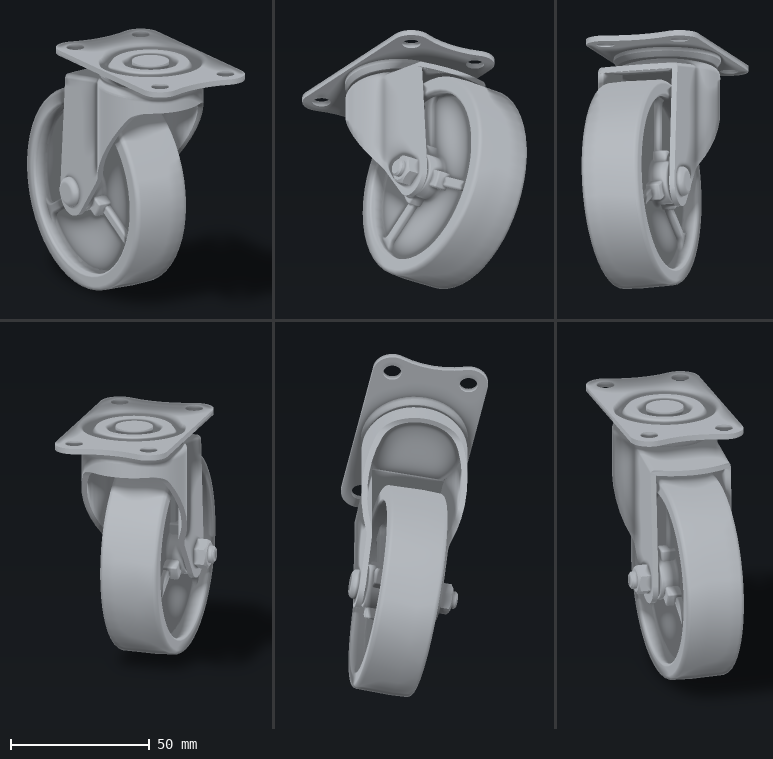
import cadquery as cq
import math


sheet = 2.0
plate_half_x = 35.0
plate_half_y = 21.0
corner_r = 7.0
waist_half_x = 32.6
hole_d = 6.5
corner_x = plate_half_x - corner_r
corner_y = plate_half_y - corner_r

dish_r = 20.1
lip_r = 18.7
groove_outer_r = 17.3
groove_inner_r = 15.5
ridge_base_r = 14.1
ridge_outer_r = 12.9
ridge_inner_r = 11.2
well_lip_r = 9.7
well_floor_r = 8.3
rivet_r = 6.7
lip_drop = 0.8
groove_depth = 2.6
well_depth = 2.0
dish_bottom_z = -5.3
dish_skirt_r = 19.3
dish_skirt_z = -3.5
dish_base_r = 18.1

swivel_cap_r = 19.1
cap_top_z = -5.9
cap_round = 3.0
cap_round_margin = 0.01
seat_r = 14.6
arm_half_y = 15.0
neck_round = 4.0
arm_edge_round = 1.5
roof_angle = math.radians(10)
roof_ref_x = -12.6
roof_ref_z = -7.8
roof_end_x = -11.2
front_edge_x = -33.3
lip_x = -36.2
arm_stock_x = lip_x - 2.0
skirt_bottom_z = -14.1
skirt_corner_x = 12.2
skirt_corner_round = 8.3
arm_tip_r = 7.5
arm_tip_drop = 1.4

wheel_r = 37.5
wheel_front_x = -66.5
wheel_bottom_z = -92.0
axle_x = wheel_front_x + wheel_r
axle_z = wheel_bottom_z + wheel_r
wheel_half_y = 10.8
tread_crown = 0.3
tread_round = 1.6
rim_r = 31.3
rim_round = 0.9
web_half_y = 5.4
hub_r = 7.8
hub_half_y = 12.0
hub_base_round = 1.1
hub_end_round = 0.5
spoke_angles = (90, 210, 330)
spoke_width = 3.7
spoke_height = 2.0
spoke_edge_round = 0.8
spoke_flare_start = 27.8
boss_width = 6.2
boss_end_r = 11.6
boss_height = 5.1
boss_edge_round = 0.7

bolt_r = 3.1
bolt_head_r = 5.4
bolt_head_height = 2.5
bolt_head_round = 2.0
bolt_end_y = 21.6
bolt_end_chamfer = 0.7
nut_corner_r = 5.6
nut_height = 4.6
nut_face_r = 4.3
nut_chamfer_height = 0.9


def axle_cylinder(radius, y_start, y_end):
    """Cylinder on the axle, from y_start to y_end."""
    axis_start = cq.Vector(axle_x, y_start, axle_z)
    return cq.Workplane(cq.Solid.makeCylinder(radius, y_end - y_start, axis_start, cq.Vector(0, 1, 0)))


def roof_z(x):
    """Height of the sloping fork roof at x."""
    return roof_ref_z + (x - roof_ref_x) * math.tan(roof_angle)


def make_plate():
    reach = waist_half_x - corner_r
    end_centre_x = (corner_x**2 + corner_y**2 - reach**2) / (2 * (corner_x - reach))
    end_r = end_centre_x - waist_half_x
    share = corner_r / (corner_r + end_r)
    join_x = corner_x + share * (end_centre_x - corner_x)
    join_y = corner_y * (1 - share)
    corner_turn = (math.radians(90) + math.atan2(join_y - corner_y, join_x - corner_x)) / 2
    mid_x = corner_x + corner_r * math.cos(corner_turn)
    mid_y = corner_y + corner_r * math.sin(corner_turn)
    slab = (
        cq.Workplane("XY")
        .moveTo(-corner_x, plate_half_y)
        .lineTo(corner_x, plate_half_y)
        .threePointArc((mid_x, mid_y), (join_x, join_y))
        .threePointArc((waist_half_x, 0), (join_x, -join_y))
        .threePointArc((mid_x, -mid_y), (corner_x, -plate_half_y))
        .lineTo(-corner_x, -plate_half_y)
        .threePointArc((-mid_x, -mid_y), (-join_x, -join_y))
        .threePointArc((-waist_half_x, 0), (-join_x, join_y))
        .threePointArc((-mid_x, mid_y), (-corner_x, plate_half_y))
        .close()
        .extrude(-sheet)
        .faces(">Z").workplane(origin=(0, 0, 0))
        .rect(2 * corner_x, 2 * corner_y, forConstruction=True)
        .vertices().hole(hole_d)
        .cut(cq.Workplane("XY").circle(dish_r).extrude(-sheet))
    )
    return slab.union(make_dish())


def make_dish():
    """Pressed dish with its ball groove, ridge, well and central rivet head."""
    return (
        cq.Workplane("XZ")
        .moveTo(0, 0)
        .lineTo(rivet_r, 0)
        .lineTo(rivet_r, -well_depth)
        .lineTo(well_floor_r, -well_depth)
        .lineTo(well_lip_r, -lip_drop)
        .tangentArcPoint((ridge_inner_r, 0), relative=False)
        .lineTo(ridge_outer_r, 0)
        .tangentArcPoint((ridge_base_r, -lip_drop), relative=False)
        .lineTo(groove_inner_r, -groove_depth)
        .lineTo(groove_outer_r, -groove_depth)
        .lineTo(lip_r, -lip_drop)
        .tangentArcPoint((dish_r, 0), relative=False)
        .lineTo(dish_r, -sheet)
        .lineTo(dish_skirt_r, -sheet)
        .lineTo(dish_skirt_r, dish_skirt_z)
        .lineTo(dish_base_r, dish_bottom_z)
        .lineTo(0, dish_bottom_z)
        .close()
        .revolve(360, (0, 0, 0), (0, 1, 0))
    )


def fork_footprint(inset):
    """Plan outline of the fork, moved inwards by inset: two straight arms and a round skirt."""
    side_y = arm_half_y - inset
    skirt_r = swivel_cap_r - inset
    round_r = neck_round + inset
    neck_x = -math.sqrt((skirt_r + round_r) ** 2 - (side_y + round_r) ** 2)
    share = skirt_r / (skirt_r + round_r)
    join_x = neck_x * share
    join_y = (side_y + round_r) * share
    turn = math.atan2(-neck_x, round_r + side_y) / 2
    mid_x = neck_x + round_r * math.sin(turn)
    mid_y = side_y + round_r - round_r * math.cos(turn)
    return (
        cq.Workplane("XY")
        .moveTo(arm_stock_x, side_y)
        .lineTo(neck_x, side_y)
        .threePointArc((mid_x, mid_y), (join_x, join_y))
        .threePointArc((skirt_r, 0), (join_x, -join_y))
        .threePointArc((mid_x, -mid_y), (neck_x, -side_y))
        .lineTo(arm_stock_x, -side_y)
        .close()
    )


def lip_trim():
    """Space in front of the roof, bounded by the curved front edge of the roof lip."""
    return (
        cq.Workplane("XY", origin=(0, 0, roof_z(arm_stock_x) - sheet / math.cos(roof_angle)))
        .moveTo(front_edge_x, arm_half_y)
        .threePointArc((lip_x, 0), (front_edge_x, -arm_half_y))
        .lineTo(arm_stock_x, -arm_half_y)
        .lineTo(arm_stock_x, arm_half_y)
        .close()
        .extrude(2 * sheet)
    )


def tangent_point(x, z, centre_x, centre_z, radius, side):
    """Point where a line from (x, z) touches a circle, on the given side (+1 or -1)."""
    direction = math.atan2(z - centre_z, x - centre_x)
    opening = math.acos(radius / math.hypot(x - centre_x, z - centre_z))
    angle = direction + side * opening
    return centre_x + radius * math.cos(angle), centre_z + radius * math.sin(angle)


def fork_side_outline():
    """Side shape of the fork, wide enough in Y to cover it."""
    tip_z = axle_z - arm_tip_drop
    front_z = roof_z(front_edge_x) - sheet
    rear_point = tangent_point(skirt_corner_x, skirt_bottom_z, axle_x, tip_z, arm_tip_r, -1)
    front_point = tangent_point(front_edge_x, front_z, axle_x, tip_z, arm_tip_r, 1)
    beyond_skirt = swivel_cap_r + 1
    return (
        cq.Workplane("XZ")
        .moveTo(beyond_skirt, cap_top_z)
        .lineTo(beyond_skirt, skirt_bottom_z)
        .lineTo(skirt_corner_x, skirt_bottom_z)
        .lineTo(*rear_point)
        .threePointArc((axle_x, tip_z - arm_tip_r), front_point)
        .lineTo(front_edge_x, front_z)
        .lineTo(arm_stock_x, roof_z(arm_stock_x) - sheet)
        .lineTo(arm_stock_x, cap_top_z)
        .close()
        .extrude(beyond_skirt, both=True)
        .edges(cq.selectors.NearestToPointSelector((skirt_corner_x, 0, skirt_bottom_z)))
        .fillet(skirt_corner_round)
    )


def fork_mass(inset):
    """Solid fork shape, moved inwards by inset: arms, skirt and sloping roof, and the round cap."""
    roof_drop = inset / math.cos(roof_angle)
    shoulder_z = cap_top_z - cap_round
    bottom_z = axle_z - 2 * arm_tip_r
    under_roof = (
        cq.Workplane("XZ")
        .moveTo(arm_stock_x, bottom_z)
        .lineTo(arm_stock_x, roof_z(arm_stock_x) - roof_drop)
        .lineTo(roof_end_x, roof_z(roof_end_x) - roof_drop)
        .lineTo(roof_end_x, shoulder_z)
        .lineTo(swivel_cap_r, shoulder_z)
        .lineTo(swivel_cap_r, bottom_z)
        .close()
        .extrude(swivel_cap_r, both=True)
    )
    body = (
        fork_footprint(inset)
        .extrude(cap_top_z - bottom_z)
        .translate((0, 0, bottom_z))
        .intersect(under_roof)
    )
    cap = (
        cq.Workplane("XY", origin=(0, 0, shoulder_z))
        .circle(swivel_cap_r - inset)
        .extrude(cap_round - inset)
        .faces(">Z").edges().fillet(cap_round - inset - cap_round_margin)
    )
    return body, cap


def make_fork():
    outside, cap = fork_mass(0)
    roof_mid_x = (front_edge_x + roof_ref_x) / 2
    for side in (1, -1):
        edge_point = (roof_mid_x, side * arm_half_y, roof_z(roof_mid_x))
        outside = outside.edges(cq.selectors.NearestToPointSelector(edge_point)).fillet(arm_edge_round)
    cavity, cap_cavity = fork_mass(sheet)
    seat = cq.Workplane("XY", origin=(0, 0, cap_top_z)).circle(seat_r).extrude(dish_bottom_z - cap_top_z)
    return (
        outside.union(cap)
        .cut(cavity)
        .cut(cap_cavity)
        .intersect(fork_side_outline())
        .cut(lip_trim())
        .union(seat)
        .cut(axle_cylinder(bolt_r, -plate_half_y, plate_half_y))
    )


def turned(profile):
    """Solid of revolution about the axle; the profile is drawn with X as radius and Y along the axle."""
    return profile.close().revolve(360, (0, 0, 0), (0, 1, 0)).translate((axle_x, 0, axle_z))


def make_wheel():
    edge_r = wheel_r - tread_crown
    shoulder_r = edge_r - tread_round
    edge_y = wheel_half_y - tread_round
    round_reach = tread_round * math.sqrt(0.5)
    round_r = shoulder_r + round_reach
    round_y = edge_y + round_reach
    disc = turned(
        cq.Workplane("XY")
        .moveTo(0, -wheel_half_y)
        .lineTo(shoulder_r, -wheel_half_y)
        .threePointArc((round_r, -round_y), (edge_r, -edge_y))
        .threePointArc((wheel_r, 0), (edge_r, edge_y))
        .threePointArc((round_r, round_y), (shoulder_r, wheel_half_y))
        .lineTo(0, wheel_half_y)
    )
    recess = wheel_recess()
    relief = wheel_relief()
    recessed = disc.cut(recess).cut(recess.mirror("XZ"))
    spoked = recessed.union(relief).union(relief.mirror("XZ"))
    return spoked.cut(axle_cylinder(bolt_r, -plate_half_y, plate_half_y))


def wheel_recess():
    """Recess between rim and web on the -Y side, with a rounded mouth and root."""
    return turned(
        cq.Workplane("XY")
        .moveTo(0, -wheel_half_y)
        .lineTo(rim_r + rim_round, -wheel_half_y)
        .radiusArc((rim_r, -wheel_half_y + rim_round), rim_round)
        .lineTo(rim_r, -web_half_y - rim_round)
        .radiusArc((rim_r - rim_round, -web_half_y), -rim_round)
        .lineTo(0, -web_half_y)
    )


def wheel_relief():
    """Hub end, spokes and spoke bosses that stand on the web on the -Y side."""
    relief = turned(
        cq.Workplane("XY")
        .moveTo(0, -hub_half_y)
        .lineTo(hub_r - hub_end_round, -hub_half_y)
        .radiusArc((hub_r, -hub_half_y + hub_end_round), -hub_end_round)
        .lineTo(hub_r, -web_half_y - hub_base_round)
        .radiusArc((hub_r + hub_base_round, -web_half_y), hub_base_round)
        .lineTo(0, -web_half_y)
    )
    axle_point = (axle_x, 0, axle_z)
    spoke = make_spoke().union(make_boss())
    for angle in spoke_angles:
        relief = relief.union(spoke.rotate((0, 0, 0), (0, -1, 0), angle).translate(axle_point))
    return relief


def make_spoke():
    """Spoke along +X from the axis, flaring into the rim with arcs tangent to spoke and rim."""
    half_width = spoke_width / 2
    flare_r = (rim_r**2 - spoke_flare_start**2 - half_width**2) / (2 * (rim_r + half_width))
    flare_scale = rim_r / (rim_r - flare_r)
    flare_x = spoke_flare_start * flare_scale
    flare_y = (half_width + flare_r) * flare_scale
    buried_x = rim_r + rim_round
    flare_slope = math.atan2(flare_y, flare_x)
    tail_x = flare_x - 2 * rim_round * math.sin(flare_slope)
    tail_y = flare_y + 2 * rim_round * math.cos(flare_slope)
    return (
        cq.Workplane("XZ", origin=(0, -web_half_y, 0))
        .moveTo(0, half_width)
        .lineTo(spoke_flare_start, half_width)
        .radiusArc((flare_x, flare_y), -flare_r)
        .lineTo(tail_x, tail_y)
        .lineTo(buried_x, tail_y)
        .lineTo(buried_x, -tail_y)
        .lineTo(tail_x, -tail_y)
        .lineTo(flare_x, -flare_y)
        .radiusArc((spoke_flare_start, -half_width), -flare_r)
        .lineTo(0, -half_width)
        .close()
        .extrude(spoke_height)
        .faces("<Y").edges("not(<X or >X)").fillet(spoke_edge_round)
    )


def make_boss():
    """Raised block over the inner end of a spoke, along +X from the axis."""
    half_width = boss_width / 2
    side_end_x = math.sqrt(boss_end_r**2 - half_width**2)
    return (
        cq.Workplane("XZ", origin=(0, -web_half_y, 0))
        .moveTo(0, half_width)
        .lineTo(side_end_x, half_width)
        .threePointArc((boss_end_r, 0), (side_end_x, -half_width))
        .lineTo(0, -half_width)
        .close()
        .extrude(boss_height)
        .edges("|Y").edges(">X").fillet(boss_edge_round)
        .faces("<Y").edges("not <X").fillet(boss_edge_round)
    )


def make_bolt():
    head_end_y = -arm_half_y - bolt_head_height
    head = axle_cylinder(bolt_head_r, head_end_y, -arm_half_y).faces("<Y").edges().fillet(bolt_head_round)
    shank = axle_cylinder(bolt_r, head_end_y, bolt_end_y).faces(">Y").edges().chamfer(bolt_end_chamfer)
    return head.union(shank)


def make_nut():
    """Hexagon nut with two corners on the vertical centre line and a chamfered outer face."""
    nut_end_y = arm_half_y + nut_height
    corners = [
        (nut_corner_r * math.sin(math.radians(angle)), nut_corner_r * math.cos(math.radians(angle)))
        for angle in range(0, 360, 60)
    ]
    hexagon = (
        cq.Workplane("XZ", origin=(axle_x, arm_half_y, axle_z))
        .polyline(corners).close()
        .extrude(-nut_height)
    )
    chamfer_envelope = turned(
        cq.Workplane("XY")
        .moveTo(0, arm_half_y)
        .lineTo(nut_corner_r, arm_half_y)
        .lineTo(nut_corner_r, nut_end_y - nut_chamfer_height)
        .lineTo(nut_face_r, nut_end_y)
        .lineTo(0, nut_end_y)
    )
    return hexagon.intersect(chamfer_envelope).cut(axle_cylinder(bolt_r, arm_half_y, nut_end_y))


plate = make_plate()
fork = make_fork()
wheel = make_wheel()
bolt = make_bolt()
nut = make_nut()

result = cq.Compound.makeCompound([plate.val(), fork.val(), wheel.val(), bolt.val(), nut.val()])